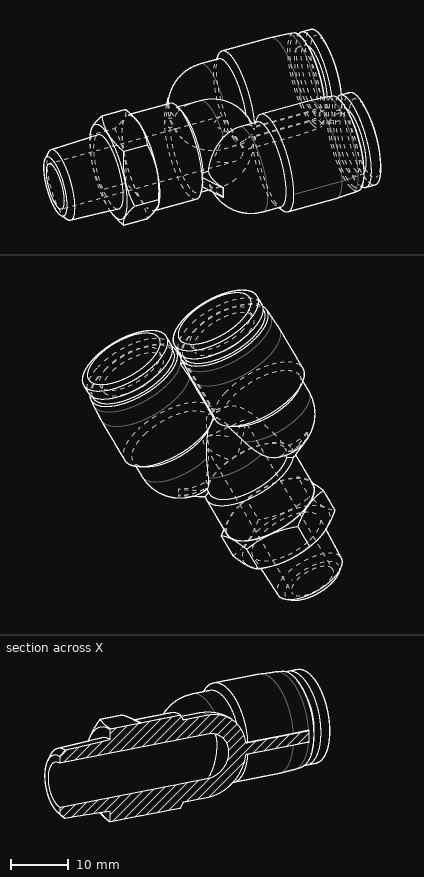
import cadquery as cq
import math

length = 54.25
outer_width = 35.2
sleeve_radius = 8.8
branch_offset = outer_width / 2 - sleeve_radius
small_radius = 7.65

thread_length = 9.95
thread_radius = 6.65
thread_tip_radius = 6.35
thread_chamfer = 1.05
bore_radius = 4.05

hex_flats = 17.2
hex_end = 16.0
hex_chamfer_radius = 8.5
hex_chamfer_angle = 30

body_radius = 8.6
body_end = 23.9
body_shoulder_end = 24.5
dome_center = 29.35

ball_center = 32.95
sleeve_step_start = 36.35
sleeve_step_end = 37.3
taper_start = 46.35
taper_end = 49.4
taper_end_radius = 8.6

cap_edge_radius = 8.5
cap_edge = 50.55
cap_end = 50.8
cap_end_radius = 8.05

ring_neck_radius = 5.9
ring_start = 52.0
ring_edge = 53.8
ring_radius = 8.3
ring_face_radius = 7.05

web_thickness = 2.15
web_tip_x = 12.55
web_tip_y = 26.2


def turn(profile, x=0.0):
    """Revolve a closed (radius, y) outline about the line through x parallel to Y."""
    solid = profile.close().revolve(360, (0, 0, 0), (0, 1, 0))
    return solid.translate((x, 0, 0))


def make_thread():
    """Tapered male end with a chamfered tip."""
    profile = (
        cq.Workplane("XY")
        .lineTo(thread_tip_radius - thread_chamfer, 0)
        .lineTo(thread_tip_radius, thread_chamfer)
        .lineTo(thread_radius, thread_length)
        .lineTo(0, thread_length)
    )
    return turn(profile)


def make_hexagon():
    """Hexagon with flats facing up and down, its corners cut back at both ends."""
    corner_radius = hex_flats / 2 / math.cos(math.pi / 6)
    drop = (corner_radius - hex_chamfer_radius) * math.tan(math.radians(hex_chamfer_angle))
    prism = (
        cq.Workplane("XZ", origin=(0, thread_length, 0))
        .polygon(6, 2 * corner_radius)
        .extrude(thread_length - hex_end)
    )
    envelope = (
        cq.Workplane("XY")
        .moveTo(0, thread_length)
        .lineTo(hex_chamfer_radius, thread_length)
        .lineTo(corner_radius, thread_length + drop)
        .lineTo(corner_radius, hex_end - drop)
        .lineTo(hex_chamfer_radius, hex_end)
        .lineTo(0, hex_end)
    )
    return prism.intersect(turn(envelope))


def make_stem():
    """Round body stepping down to a neck that ends in a half sphere."""
    diagonal = small_radius * math.sqrt(0.5)
    profile = (
        cq.Workplane("XY")
        .moveTo(0, hex_end)
        .lineTo(body_radius, hex_end)
        .lineTo(body_radius, body_end)
        .lineTo(small_radius, body_shoulder_end)
        .lineTo(small_radius, dome_center)
        .threePointArc((diagonal, dome_center + diagonal), (0, dome_center + small_radius))
    )
    return turn(profile)


def make_branch(x):
    """Sleeve with a half-sphere bottom, an end cap and a release ring."""
    diagonal = small_radius * math.sqrt(0.5)
    profile = (
        cq.Workplane("XY")
        .moveTo(0, ball_center - small_radius)
        .threePointArc((diagonal, ball_center - diagonal), (small_radius, ball_center))
        .lineTo(small_radius, sleeve_step_start)
        .lineTo(sleeve_radius, sleeve_step_end)
        .lineTo(sleeve_radius, taper_start)
        .lineTo(taper_end_radius, taper_end)
        .lineTo(cap_edge_radius, cap_edge)
        .lineTo(cap_end_radius, cap_end)
        .lineTo(ring_neck_radius, cap_end)
        .lineTo(ring_neck_radius, ring_start)
        .lineTo(ring_radius, ring_start)
        .lineTo(ring_radius, ring_edge)
        .lineTo(ring_face_radius, length)
        .lineTo(0, length)
    )
    return turn(profile, x)


def make_web():
    """Plate tying the stem to both branches and filling the gap between the sleeves."""
    return (
        cq.Workplane("XY")
        .moveTo(-body_radius, body_end)
        .lineTo(body_radius, body_end)
        .lineTo(web_tip_x, web_tip_y)
        .lineTo(branch_offset, taper_end)
        .lineTo(-branch_offset, taper_end)
        .lineTo(-web_tip_x, web_tip_y)
        .close()
        .extrude(web_thickness / 2, both=True)
    )


def make_bore():
    """Bore from the threaded end, closed by a half round lying along X."""
    bore = cq.Workplane("XZ").circle(bore_radius).extrude(-length)
    side_outline = (
        cq.Workplane("YZ")
        .moveTo(0, -bore_radius)
        .lineTo(dome_center, -bore_radius)
        .threePointArc((dome_center + bore_radius, 0), (dome_center, bore_radius))
        .lineTo(0, bore_radius)
        .close()
        .extrude(bore_radius, both=True)
    )
    return bore.intersect(side_outline)


result = make_thread().union(make_hexagon()).union(make_stem())
for side in (-1, 1):
    result = result.union(make_branch(side * branch_offset))
result = result.union(make_web()).cut(make_bore())